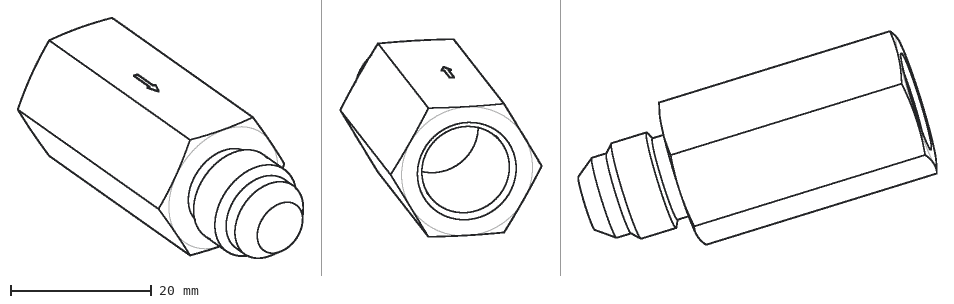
import cadquery as cq
import math

total_length = 49.2
corner_width = 22.0
across_flats = corner_width * math.cos(math.radians(30))

body_length = 35.3
corner_chamfer_angle = 15.0

neck_end = 37.5
collar_start = 38.05
collar_end = 43.25
nose_start = 44.4
flare_start = 46.55
neck_diameter = 12.15
collar_diameter = 14.25
nose_diameter = 11.95
flare_angle = 37.0

bore_diameter = 12.75
mouth_diameter = 14.35
bore_depth = 22.15
mouth_chamfer_angle = 45.0
bore_point_angle = 2 * flare_angle

arrow_start = 15.45
arrow_head_start = 19.35
arrow_tip = 21.15
arrow_center_y = -1.15
arrow_shaft_width = 0.65
arrow_head_width = 1.45
arrow_depth = 0.1


def revolve_about_x(profile):
    """Turn a closed (x, radius) profile about the X axis."""
    return cq.Workplane("XY").polyline(profile).close().revolve(360, (0, 0, 0), (1, 0, 0))


def make_body():
    """Hexagonal bar with corners on +Y and -Y, its end corners turned to a cone."""
    hexagon = cq.Workplane("YZ").polygon(6, corner_width).extrude(body_length)
    flat_radius = across_flats / 2
    corner_radius = corner_width / 2
    cone_depth = (corner_radius - flat_radius) * math.tan(math.radians(corner_chamfer_angle))
    envelope = revolve_about_x([
        (0, 0),
        (0, flat_radius),
        (cone_depth, corner_radius),
        (body_length - cone_depth, corner_radius),
        (body_length, flat_radius),
        (body_length, 0),
    ])
    return hexagon.intersect(envelope)


def make_flare_end():
    """Neck, chamfered collar, nose and flare cone."""
    flare_drop = (total_length - flare_start) * math.tan(math.radians(flare_angle))
    return revolve_about_x([
        (body_length, 0),
        (body_length, neck_diameter / 2),
        (neck_end, neck_diameter / 2),
        (collar_start, collar_diameter / 2),
        (collar_end, collar_diameter / 2),
        (nose_start, nose_diameter / 2),
        (flare_start, nose_diameter / 2),
        (total_length, nose_diameter / 2 - flare_drop),
        (total_length, 0),
    ])


def make_bore():
    """Cutter for the blind bore."""
    bore_radius = bore_diameter / 2
    mouth_radius = mouth_diameter / 2
    mouth_depth = (mouth_radius - bore_radius) / math.tan(math.radians(mouth_chamfer_angle))
    point_depth = bore_radius / math.tan(math.radians(bore_point_angle / 2))
    return revolve_about_x([
        (0, 0),
        (0, mouth_radius),
        (mouth_depth, bore_radius),
        (bore_depth, bore_radius),
        (bore_depth + point_depth, 0),
    ])


def make_arrow():
    """Cutter for the flow arrow, pointing toward the flare end."""
    half_shaft = arrow_shaft_width / 2
    half_head = arrow_head_width / 2
    return (
        cq.Workplane("XY", origin=(0, arrow_center_y, across_flats / 2))
        .polyline([
            (arrow_start, -half_shaft),
            (arrow_head_start, -half_shaft),
            (arrow_head_start, -half_head),
            (arrow_tip, 0),
            (arrow_head_start, half_head),
            (arrow_head_start, half_shaft),
            (arrow_start, half_shaft),
        ])
        .close()
        .extrude(-arrow_depth)
    )


result = make_body().union(make_flare_end()).cut(make_bore()).cut(make_arrow())